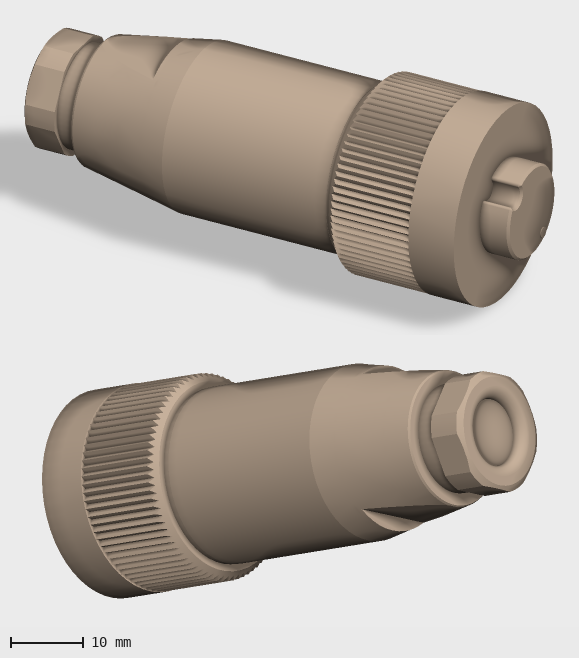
import cadquery as cq
import math

NUT_END = 5.1
SHELL_START = 8.2
SHELL_EDGE_END = 8.5
FLAT_END = 19.4
CONE_END = 23.9
LIP_START = 49.5
RING_START = 50.4
KNURL_END = 63.5
RING_END = 70.5
TIP_END = 75.05
TOTAL_LENGTH = 75.2

NUT_DIAMETER = 17.1
NUT_ACROSS_FLATS = 16.1
NUT_FACE_DIAMETER = 15.2
NUT_CHAMFER_LENGTH = 0.5
NECK_DIAMETER = 15.3
CABLE_HOLE_DIAMETER = 9.3
CABLE_HOLE_ROUNDING = 1.6
CABLE_HOLE_FLOOR = CABLE_HOLE_ROUNDING

SHELL_FACE_DIAMETER = 18.65
CONE_START_DIAMETER = 19.0
SHELL_DIAMETER = 24.7
LIP_DIAMETER = 24.5
FLAT_SPACING = 18.95

RING_DIAMETER = 29.0
RING_FACE_DIAMETER = 26.5
KNURL_DIAMETER = 28.9
KNURL_DEPTH = 0.7
KNURL_TEETH = 80

TIP_DIAMETER = 13.75
TIP_CHAMFER = 0.34
KEYWAY_WIDTH = 3
KEYWAY_CENTER_RADIUS = 6.3
KEYWAY_EDGE_ROUNDING = 0.4
KEYWAY_ANGLE = 135
DOT_DIAMETER = 1.6
DOT_Y = 3.1
DOT_Z = -4.7


def rod(start, end, diameter):
    """Cylinder on the X axis."""
    return cq.Workplane("YZ", origin=(start, 0, 0)).circle(diameter / 2).extrude(end - start)


def cone(start, end, start_diameter, end_diameter):
    """Truncated cone on the X axis."""
    direction = cq.Vector(1, 0, 0)
    solid = cq.Solid.makeCone(
        start_diameter / 2, end_diameter / 2, end - start, cq.Vector(start, 0, 0), direction
    )
    return cq.Workplane(solid)


def cable_nut():
    """Hexagon with turned-down corners and a blind hole with a rounded mouth."""
    blank = cone(0, NUT_CHAMFER_LENGTH, NUT_FACE_DIAMETER, NUT_DIAMETER)
    blank = blank.union(rod(NUT_CHAMFER_LENGTH, NUT_END, NUT_DIAMETER))
    corner_diameter = NUT_ACROSS_FLATS / math.cos(math.pi / 6)
    hexagon = cq.Workplane("YZ").polygon(6, corner_diameter).extrude(NUT_END)
    hole = rod(0, NUT_END, CABLE_HOLE_DIAMETER)
    hole_floor = rod(CABLE_HOLE_FLOOR, NUT_END, CABLE_HOLE_DIAMETER)
    nut = blank.intersect(hexagon).cut(hole)
    mouth = cq.selectors.RadiusNthSelector(0)
    nut = nut.faces("<X").edges("%CIRCLE").edges(mouth).fillet(CABLE_HOLE_ROUNDING)
    return nut.union(hole_floor)


def shell():
    """Tapered grip with two wrench flats, then a straight barrel."""
    body = cone(SHELL_START, SHELL_EDGE_END, SHELL_FACE_DIAMETER, CONE_START_DIAMETER)
    body = body.union(cone(SHELL_EDGE_END, CONE_END, CONE_START_DIAMETER, SHELL_DIAMETER))
    body = body.union(rod(CONE_END, LIP_START, SHELL_DIAMETER))
    body = body.union(rod(LIP_START, RING_START, LIP_DIAMETER))
    flat_length = FLAT_END - SHELL_START
    flat_block = cq.Workplane("XY").box(
        flat_length, SHELL_DIAMETER, SHELL_DIAMETER, centered=(False, True, False)
    )
    upper_block = flat_block.translate((SHELL_START, 0, FLAT_SPACING / 2))
    return body.cut(upper_block).cut(upper_block.mirror("XY"))


def knurl():
    """Straight V-shaped teeth, bevelled toward the shell, with a valley on each axis."""
    radius = KNURL_DIAMETER / 2
    half_pitch = math.pi / KNURL_TEETH
    points = []
    for corner in range(2 * KNURL_TEETH):
        corner_radius = radius if corner % 2 else radius - KNURL_DEPTH
        angle = corner * half_pitch
        points.append((corner_radius * math.cos(angle), corner_radius * math.sin(angle)))
    teeth = cq.Workplane("YZ", origin=(RING_START, 0, 0)).polyline(points).close()
    teeth = teeth.extrude(KNURL_END - RING_START)
    bevel_end = RING_START + (KNURL_DIAMETER - RING_FACE_DIAMETER) / 2
    envelope = cone(RING_START, bevel_end, RING_FACE_DIAMETER, KNURL_DIAMETER)
    envelope = envelope.union(rod(bevel_end, KNURL_END, KNURL_DIAMETER))
    return teeth.intersect(envelope)


def plug_tip():
    """Bevelled plug with a round-bottomed keyway and a raised dot on its end."""
    tip_length = TIP_END - RING_END
    tip = rod(RING_END, TIP_END, TIP_DIAMETER)
    slot_length = TIP_DIAMETER / 2
    keyway = cq.Workplane("YZ").circle(KEYWAY_WIDTH / 2).extrude(tip_length)
    keyway = keyway.union(
        cq.Workplane("XY").box(tip_length, slot_length, KEYWAY_WIDTH, centered=(False, False, True))
    )
    keyway = keyway.translate((RING_END, KEYWAY_CENTER_RADIUS, 0))
    keyway = keyway.rotate((0, 0, 0), (1, 0, 0), KEYWAY_ANGLE)
    tip = tip.cut(keyway)
    edge_radius = TIP_DIAMETER / 2
    edge_offset = math.degrees(math.asin(KEYWAY_WIDTH / TIP_DIAMETER))
    for side in (-1, 1):
        angle = math.radians(KEYWAY_ANGLE + side * edge_offset)
        edge_y = edge_radius * math.cos(angle)
        edge_z = edge_radius * math.sin(angle)
        edge_point = (RING_END + tip_length / 2, edge_y, edge_z)
        tip = tip.edges(cq.selectors.NearestToPointSelector(edge_point)).fillet(KEYWAY_EDGE_ROUNDING)
    tip = tip.faces(">X").chamfer(TIP_CHAMFER)
    dot = rod(TIP_END, TOTAL_LENGTH, DOT_DIAMETER).translate((0, DOT_Y, DOT_Z))
    return tip.union(dot)


neck = rod(NUT_END, SHELL_START, NECK_DIAMETER)
plain_ring = rod(KNURL_END, RING_END, RING_DIAMETER)

result = cable_nut().union(neck).union(shell()).union(knurl()).union(plain_ring).union(plug_tip())